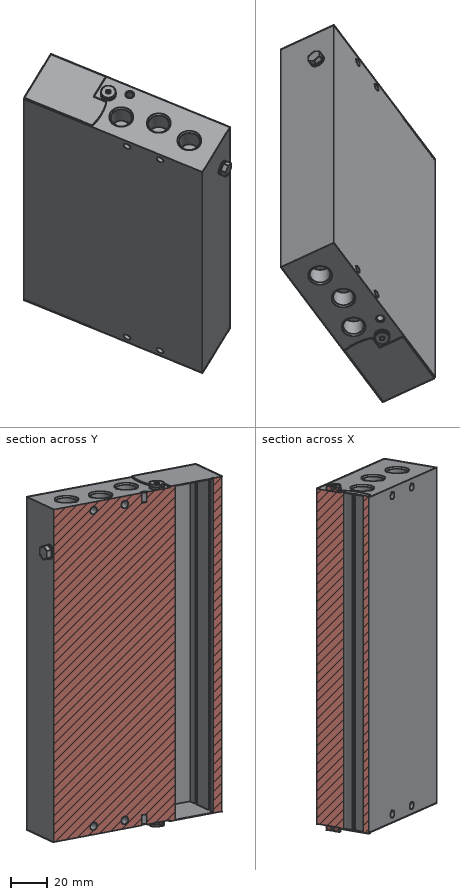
import cadquery as cq

HOUSING_LENGTH = 110.0
HOUSING_DEPTH = 33.9
TOTAL_HEIGHT = 197.0
TOTAL_LENGTH = 114.0

LID_THICKNESS = 0.69
LID_EDGE_INSET = 0.5
LID_NARROW_LENGTH = 33.9
LID_STEP_Y = 18.3
LID_WIDE_LENGTH = 41.8
LID_BULGE = 1.2
LID_CORNER_RADIUS = 1.0

CHANNEL_LEFT = 6.0
CHANNEL_FRONT = 4.0
CHANNEL_BACK = 31.3
CHANNEL_STEP_Y = 16.4
CHANNEL_NARROW_RIGHT = 30.5
CHANNEL_WIDE_RIGHT = 39.5
CHANNEL_CORNER_RADIUS = 1.0
GROOVE_WIDTH = 2.0
GROOVE_DEPTH = 1.5
BACK_GROOVE_Y = 23.8
FRONT_GROOVE_Y = 10.0

PORT_PITCH = 20.3
FIRST_PORT_X = 53.4
PORT_YS = [13.2, 18.7, 15.8]
PORT_DIAMETER = 11.5
PORT_MOUTH_DIAMETER = 13.2
PORT_DEPTH = 11.8
PILOT_PORT_X = 50.8
PILOT_PORT_Y = 28.8
PILOT_PORT_DIAMETER = 4.0
PILOT_MOUTH_DIAMETER = 5.0
PILOT_PORT_DEPTH = 6.0

MOUNT_DIAMETER = 4.1
MOUNT_END_DISTANCE = 5.0
MOUNT_XS = [FIRST_PORT_X + (i + 0.5) * PORT_PITCH for i in range(2)]

CAP_X = 40.2
CAP_Y = 23.6
CAP_BASE_DIAMETER = 8.5
CAP_BASE_HEIGHT = 1.2
CAP_HEAD_DIAMETER = 8.0
CAP_HEIGHT = 2.5
CAP_MOUTH_DIAMETER = 2.8
CAP_HOLE_DIAMETER = 2.4
CAP_HOLE_DEPTH = 2.0

PLUG_Y = CAP_Y
PLUG_Z = 70.5
PLUG_FLANGE_DIAMETER = 8.0
PLUG_COLLAR_DIAMETER = 7.9
PLUG_FLANGE_THICKNESS = 0.5
PLUG_COLLAR_THICKNESS = 0.5
PLUG_HEX_CORNERS = 8.0
PLUG_LENGTH = TOTAL_LENGTH - HOUSING_LENGTH

END_Z = TOTAL_HEIGHT / 2 - CAP_HEIGHT


def mirrored(shape):
    """The same shape at the opposite end."""
    return shape.mirror("XY")


def lid():
    """Stepped plate on the top end face, flush with the left face."""
    front = LID_EDGE_INSET
    back = HOUSING_DEPTH - LID_EDGE_INSET
    plate = (
        cq.Workplane("XY", origin=(0, 0, END_Z))
        .moveTo(0, front)
        .lineTo(LID_WIDE_LENGTH, front)
        .threePointArc(
            (LID_WIDE_LENGTH + LID_BULGE, (front + LID_STEP_Y) / 2),
            (LID_WIDE_LENGTH, LID_STEP_Y),
        )
        .lineTo(LID_NARROW_LENGTH, LID_STEP_Y)
        .lineTo(LID_NARROW_LENGTH, back)
        .lineTo(0, back)
        .close()
        .extrude(LID_THICKNESS)
    )
    for y in (front, LID_STEP_Y):
        bulge_corner = cq.selectors.NearestToPointSelector((LID_WIDE_LENGTH, y, END_Z))
        plate = plate.edges("|Z").edges(bulge_corner).fillet(LID_CORNER_RADIUS)
    return plate


def channel():
    """L-shaped channel with two pairs of facing guide grooves."""
    height = 2 * END_Z
    base = cq.Workplane("XY", origin=(0, 0, -END_Z))
    void = (
        base.moveTo(CHANNEL_LEFT, CHANNEL_FRONT)
        .lineTo(CHANNEL_WIDE_RIGHT, CHANNEL_FRONT)
        .lineTo(CHANNEL_WIDE_RIGHT, CHANNEL_STEP_Y)
        .lineTo(CHANNEL_NARROW_RIGHT, CHANNEL_STEP_Y)
        .lineTo(CHANNEL_NARROW_RIGHT, CHANNEL_BACK)
        .lineTo(CHANNEL_LEFT, CHANNEL_BACK)
        .close()
        .extrude(height)
    )
    for x, y in [(CHANNEL_WIDE_RIGHT, CHANNEL_STEP_Y), (CHANNEL_NARROW_RIGHT, CHANNEL_BACK)]:
        corner = cq.selectors.NearestToPointSelector((x, y, 0))
        void = void.edges("|Z").edges(corner).fillet(CHANNEL_CORNER_RADIUS)
    for right, y in [(CHANNEL_NARROW_RIGHT, BACK_GROOVE_Y), (CHANNEL_WIDE_RIGHT, FRONT_GROOVE_Y)]:
        centre_x = (CHANNEL_LEFT + right) / 2
        span = right - CHANNEL_LEFT + 2 * GROOVE_DEPTH
        void = void.union(base.center(centre_x, y).rect(span, GROOVE_WIDTH).extrude(height))
    return void


def port(x, y, diameter, mouth_diameter, depth):
    """Blind bore in the top end face with a 45-degree chamfered mouth."""
    mouth_depth = (mouth_diameter - diameter) / 2
    return (
        cq.Workplane("XZ", origin=(x, y, END_Z))
        .polyline([
            (0, 0),
            (mouth_diameter / 2, 0),
            (diameter / 2, -mouth_depth),
            (diameter / 2, -depth),
            (0, -depth),
        ])
        .close()
        .revolve(360, (0, 0, 0), (0, 1, 0))
    )


def make_housing():
    body = cq.Workplane("XY").box(HOUSING_LENGTH, HOUSING_DEPTH, 2 * END_Z, centered=(False, False, True))
    body = body.union(lid()).union(mirrored(lid()))
    body = body.cut(channel())

    ports = [port(PILOT_PORT_X, PILOT_PORT_Y, PILOT_PORT_DIAMETER, PILOT_MOUTH_DIAMETER, PILOT_PORT_DEPTH)]
    for i, y in enumerate(PORT_YS):
        x = FIRST_PORT_X + i * PORT_PITCH
        ports.append(port(x, y, PORT_DIAMETER, PORT_MOUTH_DIAMETER, PORT_DEPTH))
    for bore in ports:
        body = body.cut(bore).cut(mirrored(bore))

    mount_z = END_Z - MOUNT_END_DISTANCE
    mounts = (
        cq.Workplane("XZ")
        .pushPoints([(x, z) for x in MOUNT_XS for z in (mount_z, -mount_z)])
        .circle(MOUNT_DIAMETER / 2)
        .extrude(-HOUSING_DEPTH)
    )
    return body.cut(mounts)


def make_end_cap():
    """Stepped round cap on the top end face with a countersunk blind hole."""
    mouth_depth = (CAP_MOUTH_DIAMETER - CAP_HOLE_DIAMETER) / 2
    return (
        cq.Workplane("XZ", origin=(CAP_X, CAP_Y, END_Z))
        .polyline([
            (0, 0),
            (CAP_BASE_DIAMETER / 2, 0),
            (CAP_BASE_DIAMETER / 2, CAP_BASE_HEIGHT),
            (CAP_HEAD_DIAMETER / 2, CAP_BASE_HEIGHT),
            (CAP_HEAD_DIAMETER / 2, CAP_HEIGHT),
            (CAP_MOUTH_DIAMETER / 2, CAP_HEIGHT),
            (CAP_HOLE_DIAMETER / 2, CAP_HEIGHT - mouth_depth),
            (CAP_HOLE_DIAMETER / 2, CAP_HEIGHT - CAP_HOLE_DEPTH),
            (0, CAP_HEIGHT - CAP_HOLE_DEPTH),
        ])
        .close()
        .revolve(360, (0, 0, 0), (0, 1, 0))
    )


def make_plug():
    """Round flange and collar with a hexagonal head, with two hexagon corners in line with Z."""
    return (
        cq.Workplane("YZ", origin=(HOUSING_LENGTH, PLUG_Y, PLUG_Z))
        .circle(PLUG_FLANGE_DIAMETER / 2)
        .extrude(PLUG_FLANGE_THICKNESS)
        .faces(">X")
        .workplane()
        .circle(PLUG_COLLAR_DIAMETER / 2)
        .extrude(PLUG_COLLAR_THICKNESS)
        .faces(">X")
        .workplane()
        .transformed(rotate=(0, 0, 90))
        .polygon(6, PLUG_HEX_CORNERS)
        .extrude(PLUG_LENGTH - PLUG_FLANGE_THICKNESS - PLUG_COLLAR_THICKNESS)
    )


housing = make_housing()
top_cap = make_end_cap()
end_caps = [top_cap, mirrored(top_cap)]
plug = make_plug()

result = cq.Compound.makeCompound([housing.val(), *[cap.val() for cap in end_caps], plug.val()])